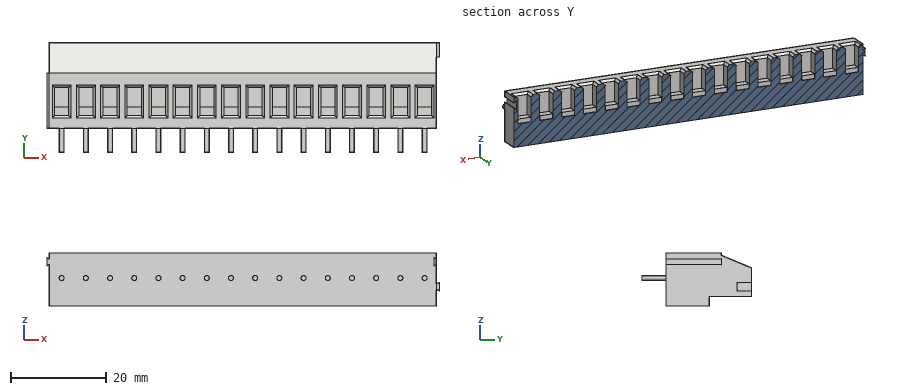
import cadquery as cq

pole_count = 16
pitch = 5.08
overall_length = 82.5
block_length = pole_count * pitch
first_pin_margin = 2.62
block_left = -first_pin_margin
block_right = block_left + block_length
block_depth = 18.0
block_height = 11.2

top_depth = 11.65
top_lip_height = 0.5
back_edge_height = 8.05
foot_depth = 9.15
foot_height = 2.0

pin_diameter = 1.05
pin_length = 5.0
pin_height = block_height - 5.3

well_width = 3.95
well_length = 6.85
well_front = 2.22
well_center_y = well_front + well_length / 2
rim_bevel = 0.5
shaft_width = well_width - 2 * rim_bevel
shaft_length = well_length - 2 * rim_bevel
shaft_front = well_front + rim_bevel
shaft_depth = 6.0
ledge_depth = 5.0
ledge_back = 4.5

rail_projection = 0.5
rail_height = block_height - 1.88
rail_tip_width = 1.75
rail_root_width = 1.15

key_projection = overall_length - block_length - rail_projection
key_height = block_height - 7.1
key_length = 3.0
key_tip_width = 1.8
key_root_width = 1.2
key_groove_mouth_width = 0.9
key_groove_floor_width = 1.9
key_groove_depth = 0.5


def make_block():
    profile = [
        (0, 0),
        (foot_depth, 0),
        (foot_depth, foot_height),
        (block_depth, foot_height),
        (block_depth, back_edge_height),
        (top_depth, block_height - top_lip_height),
        (top_depth, block_height),
        (0, block_height),
    ]
    return cq.Workplane("YZ", origin=(block_left, 0, 0)).polyline(profile).close().extrude(block_length)


def make_dovetail(root_x, center_z, reach, root_width, tip_width, start_y, length):
    """Bar along Y whose section goes from root_width at root_x to tip_width at root_x + reach."""
    section = [
        (root_x, center_z - root_width / 2),
        (root_x + reach, center_z - tip_width / 2),
        (root_x + reach, center_z + tip_width / 2),
        (root_x, center_z + root_width / 2),
    ]
    return cq.Workplane("XZ", origin=(0, start_y, 0)).polyline(section).close().extrude(-length)


def make_shaft(center_x, front, back, floor_depth):
    """Straight box cutter from the bottom of the rim bevel down to floor_depth below the top face."""
    return (
        cq.Workplane("XY", origin=(center_x, (front + back) / 2, block_height - floor_depth))
        .rect(shaft_width, back - front)
        .extrude(floor_depth - rim_bevel)
    )


def make_well(center_x):
    """Cutter for one well: bevelled rim, straight shaft and a shallower ledge at the front."""
    rim = (
        cq.Workplane("XY", origin=(center_x, well_center_y, block_height))
        .rect(well_width, well_length)
        .workplane(offset=-rim_bevel)
        .rect(shaft_width, shaft_length)
        .loft(ruled=True)
    )
    ledge_shaft = make_shaft(center_x, shaft_front, ledge_back, ledge_depth)
    deep_shaft = make_shaft(center_x, ledge_back, shaft_front + shaft_length, shaft_depth)
    return rim.union(ledge_shaft).union(deep_shaft)


def make_pin(center_x):
    return (
        cq.Workplane("XZ", origin=(center_x, 0, pin_height))
        .circle(pin_diameter / 2)
        .extrude(pin_length)
    )


key_start = block_depth - key_length
rail = make_dovetail(
    block_left, rail_height, -rail_projection, rail_root_width, rail_tip_width, 0, top_depth
)
rail_groove = rail.translate((block_length, 0, 0))
key = make_dovetail(
    block_right, key_height, key_projection, key_root_width, key_tip_width, key_start, key_length
)
key_groove = make_dovetail(
    block_left, key_height, key_groove_depth, key_groove_mouth_width, key_groove_floor_width,
    key_start, key_length
)

result = make_block().union(rail).union(key).cut(rail_groove).cut(key_groove)

for pole in range(pole_count):
    result = result.cut(make_well(pole * pitch))
    result = result.union(make_pin(pole * pitch))